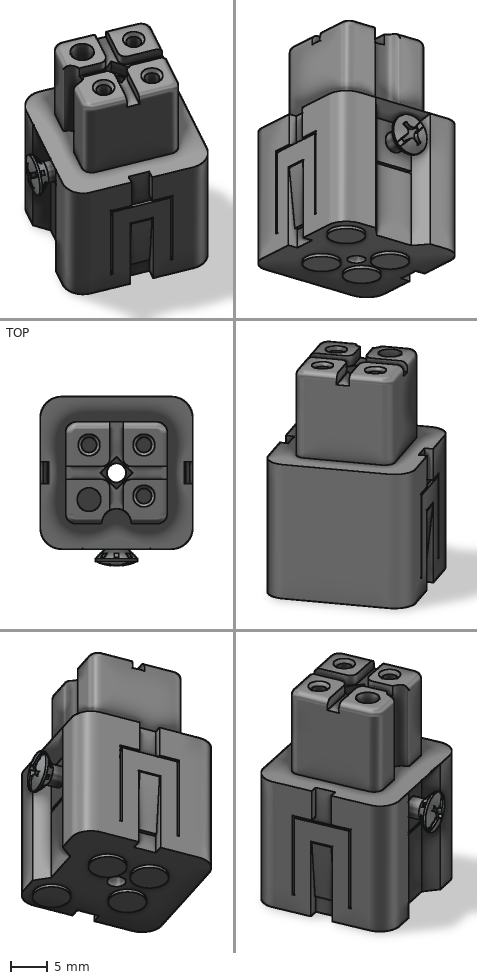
import cadquery as cq
import math

overall_height = 32.5
body_side = 21.0
body_height = 19.47
body_corner_radius = 3.0
pad_height = 0.45
tower_side = 14.0
tower_height = overall_height - pad_height - body_height
tower_corner_radius = 1.5
tower_edge_radius = 0.98
half_body = body_side / 2
half_tower = tower_side / 2
tower_top = body_height + tower_height
through = 65

cross_slot_width = 1.8
cross_slot_depth = 1.53
slot_floor = tower_top - cross_slot_depth
centre_bore_radius = 1.3
diamond_half_diagonal = 2.2
diamond_depth = 2.0
inner_corner_radius = 1.15

groove_half_width = 1.98
groove_depth = 2.08
groove_lip_radius = 0.32

contact_radius = 1.05
contact_mouth_radius = 1.5
contact_lead_in = 0.52
contact_depth = 7.8
contact_x = 3.77
contact_positions = [(-contact_x, 3.85), (contact_x, 3.85), (contact_x, -3.2)]
earth_radius = 1.62
earth_depth = 7.8
earth_position = (-contact_x, -3.67)

pad_radius = 2.63
pad_positions = [(-3.48, 3.35), (3.48, 3.35), (3.48, -3.02), (-6.82, -6.6)]

recess_half_width = 4.75
recess_floor_half_width = 3.0
recess_depth = 1.98
recess_floor_y = -half_body + recess_depth
recess_taper = (recess_half_width - recess_floor_half_width) / recess_depth
gap_depth = 1.07
gap_bottom = 10.72
gap_height = 0.32

screw_z = 14.6
screw_shaft_radius = 1.5
screw_head_radius = 2.9
screw_protrusion = 2.3
screw_rim_thickness = 0.35
screw_dome_height = 0.65
cross_arm_reach = 1.75
cross_arm_width = 0.75
cross_waist = 0.8
cross_depth = 0.85
head_rib_count = 8
head_rib_width = 0.65
head_rib_height = 0.03
head_rib_start = 2.15
head_rib_end = 2.7

channel_half_width = 1.5
channel_depth = 1.2
tongue_half_width = 4.22
tongue_slit = 0.3
tongue_top = 14.65
tongue_bottom = 2.7
tongue_tip_thickness = 0.45
tongue_back_thickness = 0.98
tongue_bevel_height = 2.6
window_half_width = 1.65
window_top = 11.65
window_depth = 1.53
ramp_gap = window_half_width - channel_half_width
ramp_depth = 0.98


def box_between(x0, x1, y0, y1, z0, z1):
    """Axis-aligned box given by its two limits along each axis."""
    return cq.Workplane("XY").box(x1 - x0, y1 - y0, z1 - z0, centered=False).translate((x0, y0, z0))


def rounded_block(side, radius, bottom, height):
    block = cq.Workplane("XY").workplane(offset=bottom).rect(side, side).extrude(height)
    return block.edges("|Z").fillet(radius)


def diamond(half_diagonal, bottom, height):
    points = [(half_diagonal, 0), (0, half_diagonal), (-half_diagonal, 0), (0, -half_diagonal)]
    return cq.Workplane("XY").workplane(offset=bottom).polyline(points).close().extrude(height)


def bore(position, radius, top, depth):
    return cq.Workplane("XY").workplane(offset=top - depth).center(*position).circle(radius).extrude(depth)


def guide_groove():
    """Rounded groove whose lips curve outward into the tower front."""
    lip = groove_lip_radius
    wide = groove_half_width + lip
    near = lip * (1 - math.sqrt(0.5))
    far = lip * math.sqrt(0.5)
    return (
        cq.Workplane("XY").workplane(offset=body_height)
        .moveTo(-wide, -half_tower)
        .threePointArc((-wide + far, -half_tower + near), (-groove_half_width, -half_tower + lip))
        .threePointArc((0, -half_tower + groove_depth), (groove_half_width, -half_tower + lip))
        .threePointArc((wide - far, -half_tower + near), (wide, -half_tower))
        .close()
        .extrude(tower_height)
    )


def inner_corner_relief():
    """Material removed at the middle of the cross to round the inner corners of the four quarters."""
    reach = cross_slot_width / 2 + inner_corner_radius
    relief = box_between(-reach, reach, -reach, reach, slot_floor, tower_top)
    rounding = (
        cq.Workplane("XY").workplane(offset=slot_floor)
        .rect(2 * reach, 2 * reach, forConstruction=True).vertices()
        .circle(inner_corner_radius).extrude(cross_slot_depth)
    )
    return relief.cut(rounding)


def make_tower():
    tower = rounded_block(tower_side, tower_corner_radius, body_height, tower_height)
    tower = tower.faces(">Z").edges().fillet(tower_edge_radius)
    half_slot = cross_slot_width / 2
    tower = tower.cut(box_between(-half_slot, half_slot, -through, through, slot_floor, tower_top))
    tower = tower.cut(box_between(-through, through, -half_slot, half_slot, slot_floor, tower_top))
    tower = tower.cut(inner_corner_relief())
    tower = tower.cut(diamond(diamond_half_diagonal, slot_floor - diamond_depth, diamond_depth))
    return tower.cut(guide_groove())


def contact_opening(position):
    """Blind bore with a conical lead-in."""
    lead_in = cq.Solid.makeCone(
        contact_radius, contact_mouth_radius, contact_lead_in,
        pnt=cq.Vector(*position, tower_top - contact_lead_in),
    )
    return bore(position, contact_radius, tower_top, contact_depth).union(cq.Workplane(lead_in))


def taper_section(bottom, height, depth):
    """Prism that narrows from the body front to the given depth."""
    inner = recess_half_width - recess_taper * depth
    front = -half_body
    return (
        cq.Workplane("XY").workplane(offset=bottom)
        .polyline([(-recess_half_width, front), (recess_half_width, front),
                   (inner, front + depth), (-inner, front + depth)])
        .close().extrude(height)
    )


def front_recess():
    """Tapered recess with a sloping roof and a narrow gap across its floor."""
    roof = (
        cq.Workplane("YZ")
        .polyline([(-half_body, 0), (-half_body, body_height),
                   (recess_floor_y, body_height - recess_depth), (recess_floor_y, 0)])
        .close().extrude(recess_half_width, both=True)
    )
    recess = taper_section(0, body_height, recess_depth).intersect(roof)
    return recess.union(taper_section(gap_bottom, gap_height, recess_depth + gap_depth))


def snap_tongue_cut():
    """Everything removed around the snap tongue on the -X side."""
    face = -half_body
    slit_half_width = tongue_half_width + tongue_slit
    slit_top = tongue_top + tongue_slit
    back = face + channel_depth
    channel = box_between(face, back, -channel_half_width, channel_half_width, tongue_top, body_height)
    slits = box_between(face, back, -slit_half_width, slit_half_width, tongue_bottom, slit_top)
    tongue = box_between(face, back, -tongue_half_width, tongue_half_width, tongue_bottom, tongue_top)
    slits = slits.cut(tongue)
    bevel = (
        cq.Workplane("XZ")
        .polyline([(face + tongue_tip_thickness, tongue_top), (back, tongue_top),
                   (back, tongue_top - tongue_bevel_height),
                   (face + tongue_back_thickness, tongue_top - tongue_bevel_height)])
        .close().extrude(tongue_half_width, both=True)
    )
    window = box_between(face, face + window_depth, -window_half_width, window_half_width, 0, window_top)
    ramp = (
        cq.Workplane("XZ")
        .polyline([(face, window_top - ramp_gap), (face + window_depth, window_top - ramp_gap),
                   (face + window_depth, tongue_bottom), (face + ramp_depth, tongue_bottom)])
        .close().extrude(channel_half_width, both=True)
    )
    return channel.union(slits).union(bevel).union(window.cut(ramp))


def turned(x, y, angle):
    """Point rotated about the origin by an angle in radians."""
    return (x * math.cos(angle) - y * math.sin(angle), x * math.sin(angle) + y * math.cos(angle))


def cross_recess(bottom):
    """Four-armed driver recess with curved sides between the arms."""
    half = cross_arm_width / 2
    waist = cross_waist * math.sqrt(0.5)
    outline = cq.Workplane("XY").workplane(offset=bottom).moveTo(cross_arm_reach, -half)
    for arm in range(4):
        angle = arm * math.pi / 2
        outline = outline.lineTo(*turned(cross_arm_reach, half, angle))
        outline = outline.threePointArc(turned(waist, waist, angle), turned(half, cross_arm_reach, angle))
    return outline.close().extrude(through)


def make_screw():
    """Raised countersunk screw along +Z, its dome apex at Z = 0 before it is laid down."""
    rim_top = -screw_dome_height
    rim_bottom = rim_top - screw_rim_thickness
    cone_bottom = rim_bottom - (screw_head_radius - screw_shaft_radius)
    shaft_end = -screw_protrusion - recess_depth - gap_depth
    dome_radius = (screw_head_radius ** 2 + screw_dome_height ** 2) / (2 * screw_dome_height)
    mid_angle = math.asin(screw_head_radius / dome_radius) / 2
    dome_mid = (dome_radius * math.sin(mid_angle), dome_radius * (math.cos(mid_angle) - 1))
    screw = (
        cq.Workplane("XZ")
        .moveTo(0, shaft_end)
        .lineTo(screw_shaft_radius, shaft_end)
        .lineTo(screw_shaft_radius, cone_bottom)
        .lineTo(screw_head_radius, rim_bottom)
        .lineTo(screw_head_radius, rim_top)
        .threePointArc(dome_mid, (0, 0))
        .close()
        .revolve(360, (0, 0, 0), (0, 1, 0))
    )
    rib_foot = rim_bottom - (screw_head_radius - head_rib_start)
    rib_tip = rim_bottom - (screw_head_radius - head_rib_end)
    rib = (
        cq.Workplane("XZ")
        .polyline([(head_rib_start, rib_foot - head_rib_height), (head_rib_end, rib_tip - head_rib_height),
                   (head_rib_end, rim_bottom), (head_rib_start, rim_bottom)])
        .close().extrude(head_rib_width / 2, both=True)
    )
    for index in range(head_rib_count):
        screw = screw.union(rib.rotate((0, 0, 0), (0, 0, 1), index * 360 / head_rib_count))
    half = cross_arm_width / 2
    driver_slot = box_between(-through, through, -half, half, rim_top, through)
    drive = cross_recess(-cross_depth).union(driver_slot).rotate((0, 0, 0), (0, 0, 1), 45)
    screw = screw.cut(drive)
    return screw.rotate((0, 0, 0), (1, 0, 0), 90).translate((0, -half_body - screw_protrusion, screw_z))


body = rounded_block(body_side, body_corner_radius, 0, body_height)
body = body.cut(front_recess())
tongue_cut = snap_tongue_cut()
body = body.cut(tongue_cut).cut(tongue_cut.mirror("YZ"))
for pad in pad_positions:
    body = body.union(bore(pad, pad_radius, 0, pad_height))

connector = body.union(make_tower())
for contact in contact_positions:
    connector = connector.cut(contact_opening(contact))
connector = connector.cut(bore(earth_position, earth_radius, tower_top, earth_depth))
connector = connector.union(make_screw())
result = connector.cut(bore((0, 0), centre_bore_radius, tower_top, tower_top + pad_height))